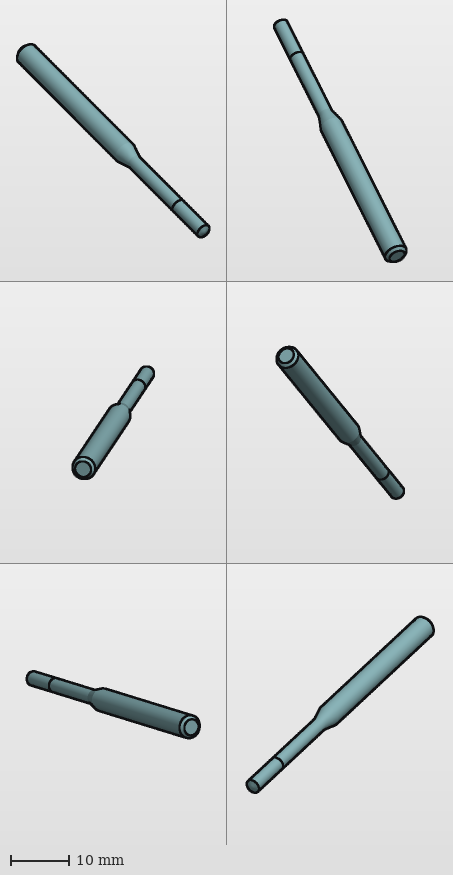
import cadquery as cq
import math

total_length = 55.0
shank_diameter = 4.0
drill_diameter = 2.55

shank_end = 30.7
taper_end = 33.5
cutting_start = 46.9

back_chamfer = 0.6
point_angle = 140.0

shank_radius = shank_diameter / 2
drill_radius = drill_diameter / 2
point_length = drill_radius / math.tan(math.radians(point_angle / 2))
point_start = total_length - point_length


def revolve_about_x(outline):
    """Turn a closed (axial, radial) outline one full revolution about the X axis."""
    return cq.Workplane("XY").polyline(outline).close().revolve(360, (0, 0, 0), (1, 0, 0))


def make_shank():
    """Chamfered shank that tapers down to a slim neck."""
    return revolve_about_x([
        (0, 0),
        (0, shank_radius - back_chamfer),
        (back_chamfer, shank_radius),
        (shank_end, shank_radius),
        (taper_end, drill_radius),
        (cutting_start, drill_radius),
        (cutting_start, 0),
    ])


def make_cutting_tip():
    """Plain cylindrical cutting section with a conical drill point."""
    return revolve_about_x([
        (cutting_start, 0),
        (cutting_start, drill_radius),
        (point_start, drill_radius),
        (total_length, 0),
    ])


shank = make_shank()
cutting_tip = make_cutting_tip()

result = cq.Compound.makeCompound([shank.val(), cutting_tip.val()])